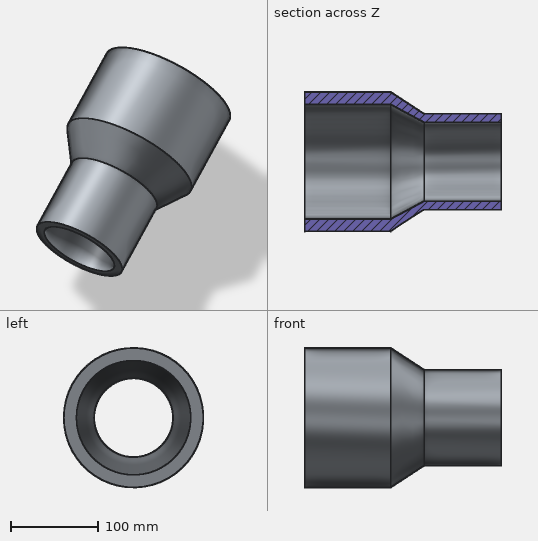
import cadquery as cq

total_length = 225.0
wide_length = 98.3
narrow_length = 88.5
wide_outer_diameter = 160.0
narrow_outer_diameter = 110.0
wide_bore_diameter = 131.0
narrow_bore_diameter = 90.0

taper_end = total_length - narrow_length


def stepped_cone(wide_diameter, narrow_diameter):
    """Solid of revolution: wide cylinder, conical taper, narrow cylinder."""
    wide_radius = wide_diameter / 2
    narrow_radius = narrow_diameter / 2
    half_profile = (
        cq.Workplane("XY")
        .moveTo(0, 0)
        .lineTo(0, wide_radius)
        .lineTo(wide_length, wide_radius)
        .lineTo(taper_end, narrow_radius)
        .lineTo(total_length, narrow_radius)
        .lineTo(total_length, 0)
        .close()
    )
    return half_profile.revolve(360, (0, 0, 0), (1, 0, 0))


body = stepped_cone(wide_outer_diameter, narrow_outer_diameter)
bore = stepped_cone(wide_bore_diameter, narrow_bore_diameter)
result = body.cut(bore)